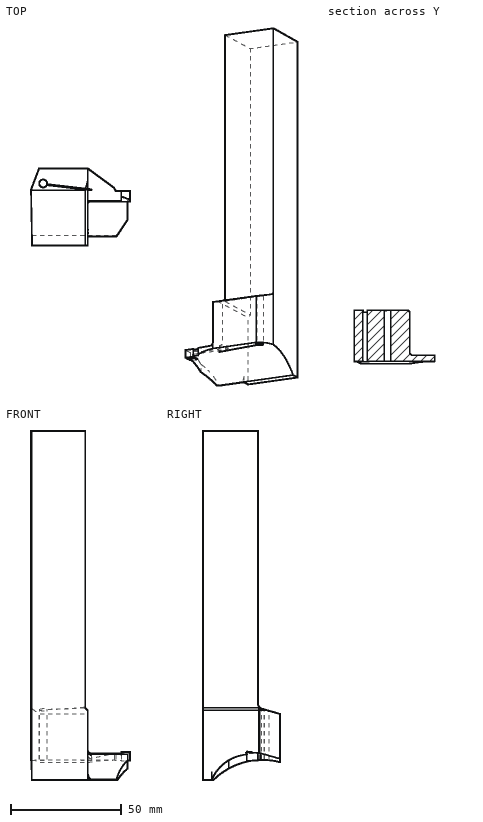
import cadquery as cq
import math

total_height = 158.7
shank_width = 25.0
shank_front_x = 24.3
rear_lean = 0.5

head_front_x = 25.4
head_step_z = 31.7
head_step_rise = 1.1
head_back_y = 35.0
head_rear_x = 3.2
head_corner_y = 25.4
head_root_z = 33.0
slope_angle = 16.0
root_radius = 2.4

clearance_radius = 31.5
clearance_center_y = 27.0
clearance_top_z = 9.2

blade_end_x = 43.5
blade_radius = 18.9
blade_center_y = 21.4
blade_edge_y = 4.1
blade_top_z = 12.2
land_front_y = 20.5
land_step = 0.5
blade_bevel_start_x = 38.4
blade_bevel_end_y = 11.7
web_top_y = 26.3
web_end_x = 37.3
web_neck_x = 38.0
blade_fillet = 1.5
pick_margin = 0.2

hole_x = 5.0
hole_y = 28.2
hole_radius = 1.7
slit_start_y = 28.0
slit_end_y = 25.4
slit_end_x = 27.0
slit_width = 0.3

insert_rear_x = 40.6
insert_tip_x = 44.6
insert_front_y = 20.0
insert_width = 4.9
insert_top_z = 12.9
insert_thickness = 4.0
insert_back_y = insert_front_y + insert_width
chip_face_drop = 0.3
chip_corner_y = 22.2
chip_tip_y = 21.0

slope = math.tan(math.radians(slope_angle))


def prism_along_x(profile, x_start, x_end):
    """Extrude a closed (Y, Z) outline between two X positions."""
    return profile(cq.Workplane("YZ", origin=(x_start, 0, 0))).extrude(x_end - x_start)


def make_bar(depth):
    """Full-height bar of the given Y depth, thicker towards +X below the head step."""
    return (
        cq.Workplane("XZ")
        .moveTo(-rear_lean, 0)
        .lineTo(head_front_x, 0)
        .lineTo(head_front_x, head_step_z)
        .lineTo(shank_front_x, head_step_z + head_step_rise)
        .lineTo(shank_front_x, total_height)
        .lineTo(-rear_lean, total_height)
        .close()
        .extrude(-depth)
    )


def make_head():
    """Ledge behind the shank with a sloping top and a rounded root."""
    tangent_length = root_radius * math.tan(math.radians(90 - slope_angle) / 2)
    arc_end_y = shank_width + tangent_length * math.cos(math.radians(slope_angle))
    arc_end_z = head_root_z - (arc_end_y - shank_width) * slope
    arc_start_z = head_root_z + tangent_length
    back_z = head_root_z - (head_back_y - shank_width) * slope

    def profile(plane):
        return (
            plane.moveTo(0, 0)
            .lineTo(head_back_y, 0)
            .lineTo(head_back_y, back_z)
            .lineTo(arc_end_y, arc_end_z)
            .radiusArc((shank_width, arc_start_z), root_radius)
            .lineTo(shank_width, head_step_z)
            .lineTo(0, head_step_z)
            .close()
        )

    return prism_along_x(profile, -rear_lean, head_front_x)


def make_rear_trim():
    """Space kept by the leaning rear face and the bevel of the head."""
    return (
        cq.Workplane("XY")
        .moveTo(0, 0)
        .lineTo(head_front_x, 0)
        .lineTo(head_front_x, head_back_y)
        .lineTo(head_rear_x, head_back_y)
        .lineTo(-rear_lean, head_corner_y)
        .close()
        .extrude(total_height)
    )


def make_blade():
    """Blade with a convex front, a raised flat land and a sloping web behind."""
    center_z = blade_top_z - land_step - blade_radius

    def convex_z(y):
        return center_z + math.sqrt(blade_radius**2 - (y - blade_center_y) ** 2)

    edge_z = convex_z(blade_edge_y)
    step_y = land_front_y - land_step
    web_back_z = blade_top_z - (head_back_y - web_top_y) * slope

    def profile(plane):
        return (
            plane.moveTo(blade_edge_y, 0)
            .lineTo(blade_edge_y, edge_z)
            .radiusArc((step_y, convex_z(step_y)), blade_radius)
            .lineTo(land_front_y, blade_top_z)
            .lineTo(web_top_y, blade_top_z)
            .lineTo(head_back_y, web_back_z)
            .lineTo(head_back_y, 0)
            .close()
        )

    outline = (
        cq.Workplane("XY")
        .moveTo(head_front_x, blade_edge_y)
        .lineTo(blade_bevel_start_x, blade_edge_y)
        .lineTo(blade_end_x, blade_bevel_end_y)
        .lineTo(blade_end_x, insert_back_y)
        .lineTo(web_neck_x, insert_back_y)
        .lineTo(web_end_x, web_top_y)
        .lineTo(head_front_x, head_back_y)
        .close()
        .extrude(insert_top_z)
    )
    return prism_along_x(profile, head_front_x, blade_end_x).intersect(outline)


def make_clearance():
    """Cylinder that hollows the underside."""
    center_z = clearance_top_z - clearance_radius
    return prism_along_x(
        lambda plane: plane.center(clearance_center_y, center_z).circle(clearance_radius),
        -rear_lean,
        blade_end_x,
    )


def make_slit():
    """Relief hole with a thin slanting slit leading to the blade root."""
    half = slit_width / 2
    hole = cq.Workplane("XY").center(hole_x, hole_y).circle(hole_radius).extrude(total_height)
    slit = (
        cq.Workplane("XY")
        .moveTo(hole_x, slit_start_y - half)
        .lineTo(slit_end_x, slit_end_y - half)
        .lineTo(slit_end_x, slit_end_y + half)
        .lineTo(hole_x, slit_start_y + half)
        .close()
        .extrude(total_height)
    )
    return hole.union(slit)


def make_insert_block():
    """Rectangular envelope of the insert, also the shape of its seat."""
    return cq.Workplane("XY").box(
        insert_tip_x - insert_rear_x, insert_width, insert_thickness, centered=False
    ).translate((insert_rear_x, insert_front_y, insert_top_z - insert_thickness))


def make_insert():
    """Insert block with a shallow chip face sunk in its top."""
    chip_face = (
        cq.Workplane("XY", origin=(0, 0, insert_top_z - chip_face_drop))
        .moveTo(insert_rear_x, insert_back_y)
        .lineTo(insert_rear_x, chip_corner_y)
        .lineTo(insert_tip_x, chip_tip_y)
        .lineTo(insert_tip_x, insert_back_y)
        .close()
        .extrude(chip_face_drop)
    )
    return make_insert_block().cut(chip_face)


def make_holder():
    head = make_head().intersect(make_bar(head_back_y))
    body = make_bar(shank_width).union(head).intersect(make_rear_trim())
    holder = body.union(make_blade())

    root_edges = cq.selectors.BoxSelector(
        (head_front_x - pick_margin, blade_edge_y + pick_margin, pick_margin),
        (head_front_x + pick_margin, head_back_y - pick_margin, blade_top_z + pick_margin),
    )
    holder = holder.edges(root_edges).fillet(blade_fillet)
    return holder.cut(make_clearance()).cut(make_slit()).cut(make_insert_block())


holder = make_holder()
insert = make_insert()
result = cq.Compound.makeCompound([holder.val(), insert.val()])